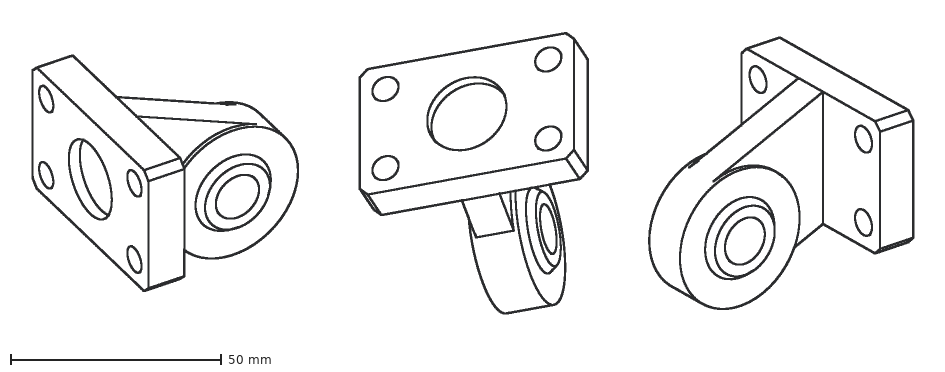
import cadquery as cq
import math

PLATE_WIDTH = 54.0
PLATE_THICKNESS = 10.0
PLATE_HEIGHT = 35.0
CORNER_CHAMFER = 2.0
BOLT_HOLE_DIAMETER = 6.6
BOLT_SPACING_X = 41.05
BOLT_SPACING_Z = 22.05
RECESS_DIAMETER = 20.0
RECESS_DEPTH = 3.0

OVERALL_LENGTH = 54.0
EYE_DIAMETER = 36.0
EYE_WIDTH = 12.0
EYE_RADIUS = EYE_DIAMETER / 2
EYE_Y = OVERALL_LENGTH - EYE_RADIUS
EYE_Z = -13.0
ARM_WIDTH = 9.5

BALL_WIDTH = 16.0
BALL_FACE_DIAMETER = 18.0
BALL_RADIUS = math.hypot(BALL_WIDTH / 2, BALL_FACE_DIAMETER / 2)
BORE_DIAMETER = 12.0


def x_cylinder(diameter, length):
    """Cylinder along X, centred on the eye axis."""
    return (
        cq.Workplane("YZ", origin=(-length / 2, EYE_Y, EYE_Z))
        .circle(diameter / 2)
        .extrude(length)
    )


def solid_ball():
    """Sphere with two flat faces, revolved about the eye axis; also the shape of its seat."""
    half_width = BALL_WIDTH / 2
    face_radius = BALL_FACE_DIAMETER / 2
    return (
        cq.Workplane("XY", origin=(0, EYE_Y, EYE_Z))
        .moveTo(-half_width, 0)
        .lineTo(-half_width, face_radius)
        .threePointArc((0, BALL_RADIUS), (half_width, face_radius))
        .lineTo(half_width, 0)
        .close()
        .revolve(360, (0, 0, 0), (1, 0, 0))
    )


def make_plate():
    """Chamfered plate with four bolt holes and a round front recess."""
    plate = (
        cq.Workplane("XY")
        .box(PLATE_WIDTH, PLATE_THICKNESS, PLATE_HEIGHT)
        .translate((0, PLATE_THICKNESS / 2, 0))
        .edges("|Y")
        .chamfer(CORNER_CHAMFER)
    )
    bolt_holes = (
        cq.Workplane("XZ")
        .rarray(BOLT_SPACING_X, BOLT_SPACING_Z, 2, 2)
        .circle(BOLT_HOLE_DIAMETER / 2)
        .extrude(-PLATE_THICKNESS)
    )
    recess = cq.Workplane("XZ").circle(RECESS_DIAMETER / 2).extrude(-RECESS_DEPTH)
    return plate.cut(bolt_holes).cut(recess)


def make_arm():
    """Sloping web: upper side tangent to the eye, lower side parallel to it."""
    top_z = PLATE_HEIGHT / 2
    reach = EYE_Y - PLATE_THICKNESS
    drop = top_z - EYE_Z
    slope_angle = math.asin(EYE_RADIUS / math.hypot(reach, drop)) - math.atan2(drop, reach)
    tangent_y = EYE_Y - EYE_RADIUS * math.sin(slope_angle)
    tangent_z = EYE_Z + EYE_RADIUS * math.cos(slope_angle)
    lower_end_z = -top_z + reach * math.tan(slope_angle)
    return (
        cq.Workplane("YZ")
        .moveTo(PLATE_THICKNESS, -top_z)
        .lineTo(PLATE_THICKNESS, top_z)
        .lineTo(tangent_y, tangent_z)
        .lineTo(EYE_Y, EYE_Z)
        .lineTo(EYE_Y, lower_end_z)
        .close()
        .extrude(ARM_WIDTH / 2, both=True)
    )


def make_housing():
    """Plate, arm and eye in one piece, with a spherical seat for the ball."""
    eye = x_cylinder(EYE_DIAMETER, EYE_WIDTH)
    return make_plate().union(make_arm()).union(eye).cut(solid_ball())


def make_ball():
    """Flat-faced ball with a through bore along X."""
    return solid_ball().cut(x_cylinder(BORE_DIAMETER, BALL_WIDTH))


housing = make_housing()
ball = make_ball()
result = cq.Compound.makeCompound([housing.val(), ball.val()])